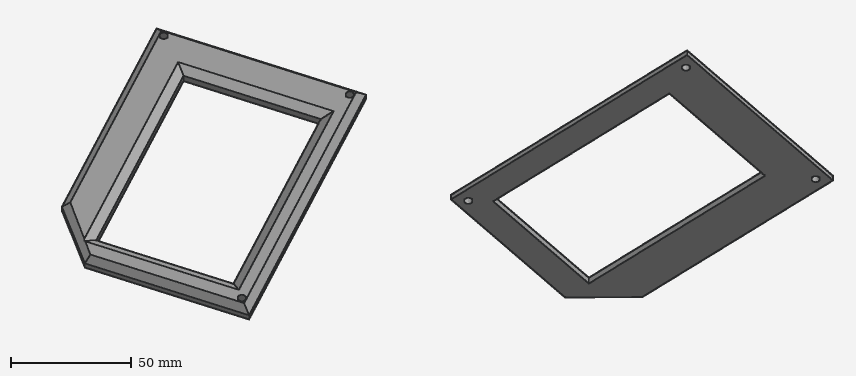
import cadquery as cq

WIDTH = 94.0
LENGTH = 128.2
THICKNESS = 6.0
RIM_HEIGHT = 2.8
CUT_X = 20.4
CUT_Y = 24.6

BEVEL_X = 3.3
BEVEL_Y = 2.8
CUT_SHIFT_X = 1.3
CUT_SHIFT_Y = 1.0

WINDOW_LEFT = 16.2
WINDOW_RIGHT = 8.1
WINDOW_TOP = 15.8
WINDOW_BOTTOM = 8.6
WINDOW_BEVEL = 4.1
WINDOW_BEVEL_DEPTH = 2.4

HOLE_DIAMETER = 3.5
HOLE_INSET_X = 5.3
HOLE_INSET_Y = 5.0


def cut_corner_outline(margin_x, margin_y, cut_x, cut_y):
    """Corners of an inset plate; the cut corners are measured from the plate edges."""
    right = WIDTH - margin_x
    top = LENGTH - margin_y
    return [(cut_x, margin_y), (right, margin_y), (right, top), (margin_x, top), (margin_x, cut_y)]


def window_outline(inset):
    """Corners of the window, drawn in from its top edge by inset."""
    left = WINDOW_LEFT + inset
    right = WIDTH - WINDOW_RIGHT - inset
    bottom = WINDOW_BOTTOM + inset
    top = LENGTH - WINDOW_TOP - inset
    return [(left, bottom), (right, bottom), (right, top), (left, top)]


def loft_between(lower, lower_z, upper, upper_z):
    """Straight-sided solid joining two outlines at different heights."""
    return (
        cq.Workplane("XY").workplane(offset=lower_z).polyline(lower).close()
        .workplane(offset=upper_z - lower_z).polyline(upper).close()
        .loft(ruled=True)
    )


rim_outline = cut_corner_outline(0, 0, CUT_X, CUT_Y)
top_outline = cut_corner_outline(BEVEL_X, BEVEL_Y, CUT_X + CUT_SHIFT_X, CUT_Y + CUT_SHIFT_Y)
rim = cq.Workplane("XY").polyline(rim_outline).close().extrude(RIM_HEIGHT)
plate = rim.union(loft_between(rim_outline, RIM_HEIGHT, top_outline, THICKNESS))

opening = cq.Workplane("XY").polyline(window_outline(WINDOW_BEVEL)).close().extrude(THICKNESS)
window_bevel = loft_between(
    window_outline(WINDOW_BEVEL), THICKNESS - WINDOW_BEVEL_DEPTH, window_outline(0), THICKNESS
)

hole_right = WIDTH - HOLE_INSET_X
hole_top = LENGTH - HOLE_INSET_Y
hole_centers = [(HOLE_INSET_X, hole_top), (hole_right, hole_top), (hole_right, HOLE_INSET_Y)]
holes = cq.Workplane("XY").pushPoints(hole_centers).circle(HOLE_DIAMETER / 2).extrude(THICKNESS)

result = plate.cut(opening).cut(window_bevel).cut(holes)